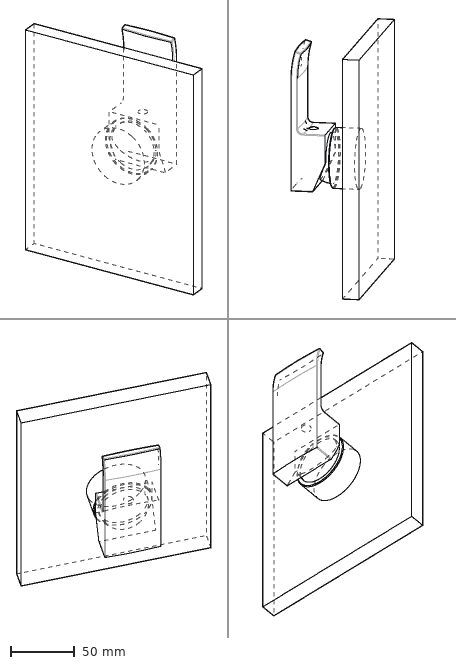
import cadquery as cq
import math

plate_width = 154.0
plate_height = 192.0
plate_thickness = 13.3

collar_radius = 24.0
collar_end_y = 34.2
collar_edge_chamfer = 0.7
ball_radius = 20.2
ball_center_y = collar_end_y

body_side = 46.0
body_half = body_side / 2
body_front_y = 37.0
body_bottom_front_y = 47.0

overall_depth = 65.01
blade_thickness = 6.8
crown_radius = 350.0
bend_start_z = 67.7
bend_radius = 74.0
bend_angle = 17.0
corner_fillet = 4.2
edge_round = 0.7

button_radius = 3.9
button_height = 1.3
button_y = 50.5


def make_plate():
    return cq.Workplane("XY").box(
        plate_width, plate_thickness, plate_height, centered=(True, False, True)
    )


def make_collar():
    return (
        cq.Workplane("XZ", origin=(0, plate_thickness, 0))
        .circle(collar_radius)
        .extrude(plate_thickness - collar_end_y)
        .faces(">Y")
        .chamfer(collar_edge_chamfer)
    )


def make_ball():
    return cq.Workplane("XY").sphere(ball_radius).translate((0, ball_center_y, 0))


def blade_section(base_z):
    """Lens-like blade section in the XY plane, convex towards +Y and -Y."""
    crown_rise = crown_radius - math.sqrt(crown_radius**2 - body_half**2)
    outer_y = overall_depth
    inner_y = overall_depth - blade_thickness
    return (
        cq.Workplane("XY", origin=(0, 0, base_z))
        .moveTo(-body_half, inner_y + crown_rise)
        .threePointArc((0, inner_y), (body_half, inner_y + crown_rise))
        .lineTo(body_half, outer_y - crown_rise)
        .threePointArc((0, outer_y), (-body_half, outer_y - crown_rise))
        .close()
    )


def make_handle():
    blade = blade_section(-body_half).extrude(bend_start_z + body_half)
    bend_axis_y = overall_depth - bend_radius
    tip = blade_section(bend_start_z).revolve(
        bend_angle, (0, bend_axis_y, 0), (1, bend_axis_y, 0)
    )
    body_back_y = overall_depth - blade_thickness / 2
    body = (
        cq.Workplane("YZ", origin=(-body_half, 0, 0))
        .moveTo(body_front_y, body_half)
        .lineTo(body_front_y, 0)
        .lineTo(body_bottom_front_y, -body_half)
        .lineTo(body_back_y, -body_half)
        .lineTo(body_back_y, body_half)
        .close()
        .extrude(body_side)
    )
    handle = blade.union(tip).union(body)
    inner_corner = (0, overall_depth - blade_thickness, body_half)
    handle = handle.edges(cq.NearestToPointSelector(inner_corner)).fillet(corner_fillet)
    slope_middle_y = (body_front_y + body_bottom_front_y) / 2
    tip_point = (0, overall_depth, bend_start_z + bend_radius)
    tip_face = handle.faces(cq.NearestToPointSelector(tip_point))
    outline_edges = handle.faces("<X or >X").add(tip_face).edges().vals()
    rounded_edges = [edge for edge in outline_edges if edge.Center().y > slope_middle_y + edge_round]
    return handle.newObject(rounded_edges).fillet(edge_round)


def make_button():
    dome_radius = (button_radius**2 + button_height**2) / (2 * button_height)
    dome = cq.Workplane("XY").sphere(dome_radius)
    dome = dome.translate((0, button_y, body_half + button_height - dome_radius))
    stem = (
        cq.Workplane("XY", origin=(0, button_y, body_half - button_height))
        .circle(button_radius)
        .extrude(2 * button_height)
    )
    return dome.intersect(stem)


result = (
    make_plate()
    .union(make_collar())
    .union(make_ball())
    .union(make_handle())
    .union(make_button())
)